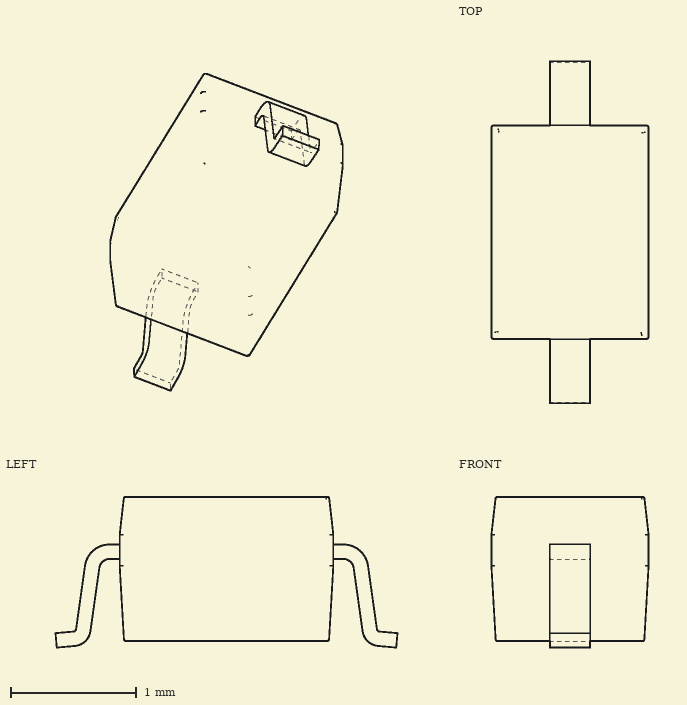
import cadquery as cq
import math

total_length = 2.72
body_width = 1.25
body_length = 1.7
body_bottom = 0.052
body_top = 1.2

belt_bottom = 0.653
belt_top = 0.898
upper_draft = 6.5
lower_draft = 3.3
corner_radius = 0.025
rim_radius = 0.02

lead_width = 0.32
lead_thickness = 0.117
lead_top = 0.821
shoulder_length = 0.08
upper_bend_inner = 0.082
lower_bend_inner = 0.022
leg_tilt = math.radians(8)
foot_tilt = math.radians(5)
lead_embed = 0.11


def rounded_block(start, end, draft):
    """Block of the belt's outline at one level, narrowing by the draft angle to another."""
    height = end - start
    inset = abs(height) * math.tan(math.radians(draft))
    block = (
        cq.Workplane("XY", origin=(0, 0, start))
        .rect(body_width, body_length)
        .workplane(offset=height)
        .rect(body_width - 2 * inset, body_length - 2 * inset)
        .loft(ruled=True)
    )
    return block.edges("not(#Z)").fillet(corner_radius)


def make_body():
    belt = rounded_block(belt_bottom, belt_top, 0)
    upper = rounded_block(belt_top, body_top, upper_draft)
    lower = rounded_block(belt_bottom, body_bottom, lower_draft)
    upper = upper.faces(">Z").edges().fillet(rim_radius)
    lower = lower.faces("<Z").edges().fillet(rim_radius)
    return belt.union(upper).union(lower)


def polar(center, radius, angle):
    return (center[0] + radius * math.cos(angle), center[1] + radius * math.sin(angle))


def make_lead():
    """Lead on the +Y side, outlined in the YZ plane and extruded along X."""
    upper_bend_outer = upper_bend_inner + lead_thickness
    lower_bend_outer = lower_bend_inner + lead_thickness
    root = body_length / 2 - lead_embed
    upper_center = (body_length / 2 + shoulder_length, lead_top - upper_bend_outer)

    tip_top = (total_length / 2, lead_thickness * math.cos(foot_tilt))
    tip_bottom = (total_length / 2 - lead_thickness * math.sin(foot_tilt), 0)

    foot_normal = math.pi / 2 - foot_tilt
    above_tip = polar(tip_top, lower_bend_inner, foot_normal)
    reach = (
        (above_tip[0] - upper_center[0]) * math.cos(leg_tilt)
        + (above_tip[1] - upper_center[1]) * math.sin(leg_tilt)
    )
    foot_length = (reach - upper_bend_outer - lower_bend_inner) / math.cos(leg_tilt + foot_tilt)
    lower_center = polar(above_tip, -foot_length, -foot_tilt)

    upper_middle = (math.pi / 2 + leg_tilt) / 2
    leg_side = math.pi + leg_tilt
    foot_side = 3 * math.pi / 2 - foot_tilt
    lower_middle = (leg_side + foot_side) / 2

    outline = (
        cq.Workplane("YZ", origin=(-lead_width / 2, 0, 0))
        .moveTo(root, lead_top)
        .lineTo(upper_center[0], lead_top)
        .threePointArc(
            polar(upper_center, upper_bend_outer, upper_middle),
            polar(upper_center, upper_bend_outer, leg_tilt),
        )
        .lineTo(*polar(lower_center, lower_bend_inner, leg_side))
        .threePointArc(
            polar(lower_center, lower_bend_inner, lower_middle),
            polar(lower_center, lower_bend_inner, foot_side),
        )
        .lineTo(*tip_top)
        .lineTo(*tip_bottom)
        .lineTo(*polar(lower_center, lower_bend_outer, foot_side))
        .threePointArc(
            polar(lower_center, lower_bend_outer, lower_middle),
            polar(lower_center, lower_bend_outer, leg_side),
        )
        .lineTo(*polar(upper_center, upper_bend_inner, leg_tilt))
        .threePointArc(
            polar(upper_center, upper_bend_inner, upper_middle),
            polar(upper_center, upper_bend_inner, math.pi / 2),
        )
        .lineTo(root, lead_top - lead_thickness)
        .close()
    )
    return outline.extrude(lead_width)


lead = make_lead()
result = make_body().union(lead).union(lead.mirror("XZ"))